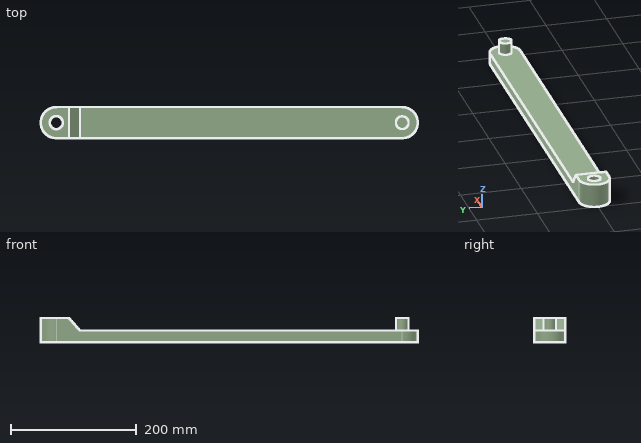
import cadquery as cq

length = 600.0
width = 50.0
height = 39.0
bar_thickness = 19.0
head_top_length = 45.0
head_base_length = 62.5
hole_diameter = 20.5
pin_diameter = 20.5

end_radius = width / 2
end_offset = length / 2 - end_radius


def rounded_bar():
    """Full-height block with semicircular ends, standing on Z = 0."""
    return cq.Workplane("XY").slot2D(length, width).extrude(height)


def side_profile():
    """Side outline: raised head, slope and thin bar, wider than the part."""
    left = -length / 2
    right = length / 2
    return (
        cq.Workplane("XZ")
        .moveTo(left, 0)
        .lineTo(right, 0)
        .lineTo(right, bar_thickness)
        .lineTo(left + head_base_length, bar_thickness)
        .lineTo(left + head_top_length, height)
        .lineTo(left, height)
        .close()
        .extrude(width, both=True)
    )


def end_cylinder(x, diameter):
    """Full-height cylinder on the centre line at the given X."""
    return cq.Workplane("XY").center(x, 0).circle(diameter / 2).extrude(height)


arm = rounded_bar().intersect(side_profile())
through_hole = end_cylinder(-end_offset, hole_diameter)
pin = end_cylinder(end_offset, pin_diameter)

result = arm.cut(through_hole).union(pin)